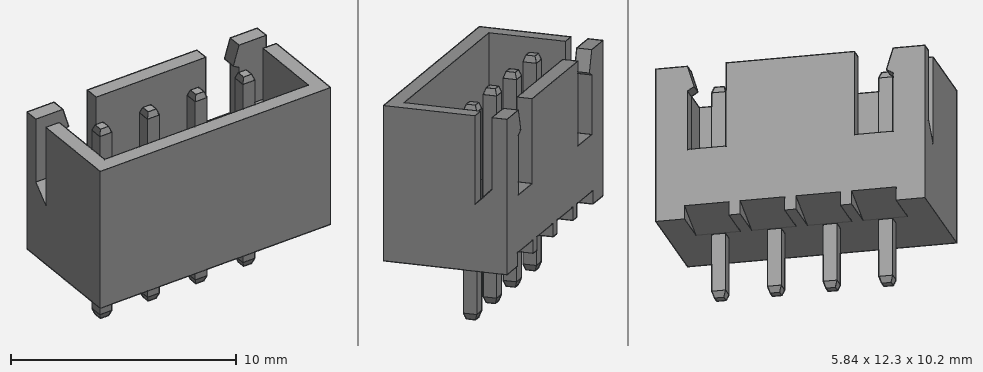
import cadquery as cq


width = 5.84
length = 12.29
height = 7.23
wall = 0.71
floor_thickness = 0.69

pin_count = 4
pin_pitch = 2.55
pin_size = 0.64
pin_tip_size = 0.43
pin_tip_height = 0.3
pin_below_housing = 2.99
pin_top_recess = 0.22
pin_x = -0.43

window_outer_offset = 1.45
window_width = 1.77
window_depth = 3.95
barb_reach = 0.31
barb_tip_depth = 1.0
barb_depth = 1.18

slit_width = 0.8
slit_depth = 3.32

notch_width = 2.03
notch_height = 0.63
notch_depth = 2.1

front_x = -width / 2
pin_positions = [(i - (pin_count - 1) / 2) * pin_pitch for i in range(pin_count)]


def make_housing():
    """Open-topped box with a solid floor."""
    box = cq.Workplane("XY").box(width, length, height, centered=(True, True, False))
    cavity = (
        cq.Workplane("XY")
        .workplane(offset=floor_thickness)
        .rect(width - 2 * wall, length - 2 * wall)
        .extrude(height - floor_thickness)
    )
    return box.cut(cavity)


def make_window():
    """Latch window near the +Y end; its outer edge carries a snap barb."""
    outer_y = length / 2 - window_outer_offset
    inner_y = outer_y - window_width
    sill_z = height - window_depth
    return (
        cq.Workplane("YZ", origin=(front_x, 0, 0))
        .moveTo(inner_y, sill_z)
        .lineTo(outer_y, sill_z)
        .lineTo(outer_y, height - barb_depth)
        .lineTo(outer_y - barb_reach, height - barb_tip_depth)
        .lineTo(outer_y, height)
        .lineTo(inner_y, height)
        .close()
        .extrude(wall)
    )


def make_slits():
    """Slit through both end walls, with a 45 degree sloping bottom."""
    near_x = front_x + wall
    far_x = near_x + slit_width
    near_z = height - slit_depth
    return (
        cq.Workplane("XZ")
        .moveTo(near_x, height)
        .lineTo(near_x, near_z)
        .lineTo(far_x, near_z - slit_width)
        .lineTo(far_x, height)
        .close()
        .extrude(length / 2, both=True)
    )


def make_notch(y):
    """Sloping relief along the lower front edge, centred on one pin."""
    return (
        cq.Workplane("XZ", origin=(0, y, 0))
        .moveTo(front_x, 0)
        .lineTo(front_x, notch_height)
        .lineTo(front_x + notch_depth, 0)
        .close()
        .extrude(notch_width / 2, both=True)
    )


def make_tip(y, base_z, direction):
    """Tapered pin end that starts at base_z and points up (1) or down (-1)."""
    return (
        cq.Workplane("XY", origin=(pin_x, y, base_z))
        .rect(pin_size, pin_size)
        .workplane(offset=direction * pin_tip_height)
        .rect(pin_tip_size, pin_tip_size)
        .loft(ruled=True)
    )


def make_pin(y):
    """Square pin through the floor, tapered at both ends."""
    shank_bottom = pin_tip_height - pin_below_housing
    shank_top = height - pin_top_recess - pin_tip_height
    shank = (
        cq.Workplane("XY", origin=(pin_x, y, shank_bottom))
        .rect(pin_size, pin_size)
        .extrude(shank_top - shank_bottom)
    )
    return shank.union(make_tip(y, shank_top, 1)).union(make_tip(y, shank_bottom, -1))


window = make_window()
result = make_housing().cut(window).cut(window.mirror("XZ")).cut(make_slits())
for pin_y in pin_positions:
    result = result.cut(make_notch(pin_y)).union(make_pin(pin_y))